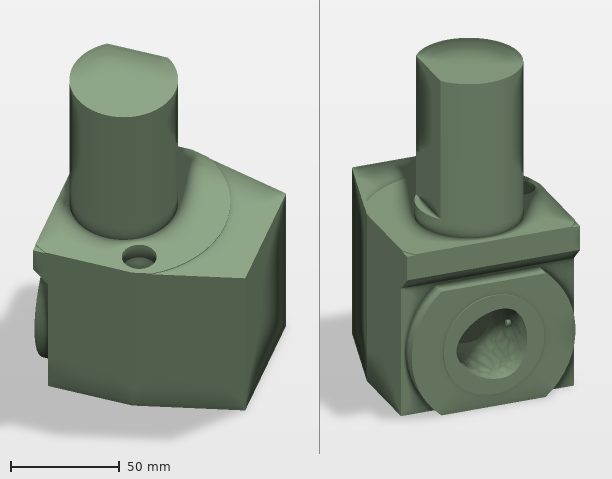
import cadquery as cq
import math

BODY_WIDTH = 86.0
BODY_BACK_X = 68.8
BODY_BACK_WIDTH = 59.3
TAPER_START_X = 18.6
LIP_FACE_X = -29.7
FRONT_FACE_X = -22.3
LIP_BOTTOM_Z = 72.2
SEAT_Z = 84.8
SEAT_HEIGHT = 0.5
SEAT_RADIUS = 49.0

TOTAL_HEIGHT = 163.0
SHANK_DIAMETER = 50.0
FLAT_Y = 20.2
FLAT_START_Z = SEAT_Z + 7.8

HOLE_DIAMETER = 16.0
HOLE_X = 18.3
HOLE_Y = -32.1
HOLE_DEPTH = 8.0

BORE_Z = 32.0
FLANGE_DIAMETER = 81.5
FLANGE_HEIGHT = 62.9
RING_DIAMETER = 50.0
RING_HEIGHT = 0.5
RING_FACE_X = LIP_FACE_X - RING_HEIGHT

BORE_MOUTH_RADIUS = 17.6
BORE_FLOOR_RADIUS = 16.6
BORE_LOBE = 1.06
BORE_DEPTH = 39.1
PIN_DIAMETER = 3.0
PIN_TIP_Y = -14.2
PIN_LENGTH = 6.5


def make_body():
    half_width = BODY_WIDTH / 2
    half_back = BODY_BACK_WIDTH / 2
    plan = (
        cq.Workplane("XY")
        .moveTo(LIP_FACE_X, -half_width)
        .lineTo(TAPER_START_X, -half_width)
        .lineTo(BODY_BACK_X, -half_back)
        .lineTo(BODY_BACK_X, half_back)
        .lineTo(TAPER_START_X, half_width)
        .lineTo(LIP_FACE_X, half_width)
        .close()
    )
    body = plan.extrude(SEAT_Z)

    recess_top_z = LIP_BOTTOM_Z - (FRONT_FACE_X - LIP_FACE_X)
    recess = (
        cq.Workplane("XZ")
        .moveTo(LIP_FACE_X, 0)
        .lineTo(FRONT_FACE_X, 0)
        .lineTo(FRONT_FACE_X, recess_top_z)
        .lineTo(LIP_FACE_X, LIP_BOTTOM_Z)
        .close()
        .extrude(half_width, both=True)
    )

    shoulder_z = SEAT_Z - SEAT_HEIGHT
    top_plane = cq.Workplane("XY", origin=(0, 0, shoulder_z))
    seat = top_plane.circle(SEAT_RADIUS).extrude(SEAT_HEIGHT)
    outside_seat = top_plane.rect(2 * BODY_BACK_X, BODY_WIDTH).extrude(SEAT_HEIGHT).cut(seat)
    return body.cut(recess).cut(outside_seat)


def make_shank():
    radius = SHANK_DIAMETER / 2
    shank = cq.Workplane("XY", origin=(0, 0, SEAT_Z)).circle(radius).extrude(TOTAL_HEIGHT - SEAT_Z)
    beyond_flat = cq.Workplane("XY").box(
        SHANK_DIAMETER, radius, TOTAL_HEIGHT - FLAT_START_Z, centered=(True, False, False)
    )
    return shank.cut(beyond_flat.translate((0, FLAT_Y, FLAT_START_Z)))


def bore_plane(x):
    """Plane across the bore axis: local x is Y, local y is Z, normal is +X."""
    return cq.Workplane("YZ", origin=(x, 0, BORE_Z))


def make_flange():
    thickness = FRONT_FACE_X - LIP_FACE_X
    disc = bore_plane(LIP_FACE_X).circle(FLANGE_DIAMETER / 2).extrude(thickness)
    flats = bore_plane(LIP_FACE_X).rect(FLANGE_DIAMETER, FLANGE_HEIGHT).extrude(thickness)
    ring = bore_plane(RING_FACE_X).circle(RING_DIAMETER / 2).extrude(RING_HEIGHT)
    return disc.intersect(flats).union(ring)


def lobed_point(angle, radius):
    """Point on a three-lobed curve of constant width, one lobe along +Y."""
    y = radius * math.cos(angle) + BORE_LOBE * (2 * math.cos(2 * angle) - math.cos(4 * angle))
    z = radius * math.sin(angle) - BORE_LOBE * (2 * math.sin(2 * angle) + math.sin(4 * angle))
    return (y, z)


def make_bore():
    point_count = 36
    angles = [2 * math.pi * i / point_count for i in range(point_count)]
    mouth = [lobed_point(angle, BORE_MOUTH_RADIUS) for angle in angles]
    floor = [lobed_point(angle, BORE_FLOOR_RADIUS) for angle in angles]
    return (
        bore_plane(RING_FACE_X)
        .spline(mouth, periodic=True)
        .close()
        .workplane(offset=BORE_DEPTH)
        .spline(floor, periodic=True)
        .close()
        .loft(ruled=True)
    )


def make_pin():
    pin_x = RING_FACE_X + BORE_DEPTH / 2
    return (
        cq.Workplane("XZ", origin=(pin_x, PIN_TIP_Y, BORE_Z))
        .circle(PIN_DIAMETER / 2)
        .extrude(PIN_LENGTH)
    )


hole = (
    cq.Workplane("XY", origin=(HOLE_X, HOLE_Y, SEAT_Z - HOLE_DEPTH))
    .circle(HOLE_DIAMETER / 2)
    .extrude(HOLE_DEPTH)
)

result = (
    make_body()
    .union(make_shank())
    .union(make_flange())
    .cut(hole)
    .cut(make_bore())
    .union(make_pin())
)